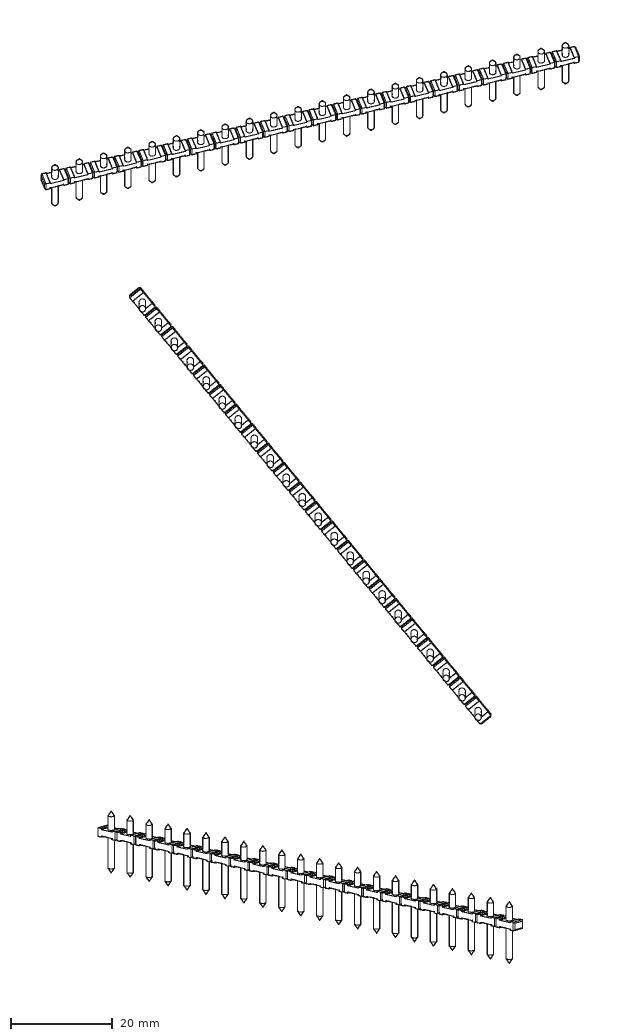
import cadquery as cq

length = 110.0
pin_count = 22
pitch = length / pin_count

strip_width = 2.8
strip_height = 1.8
end_chamfer = 0.2

recess_length = 2.8
recess_depth = 0.2

pin_length = 12.5
pin_above = 3.5
pin_radius = 0.65
point_length = 1.0


def make_segment():
    """One strip segment, chamfered at both ends so neighbours meet in V grooves."""
    block = cq.Workplane("XY").box(strip_width, pitch, strip_height)
    block = block.faces("<Y or >Y").chamfer(end_chamfer)
    recess_cutter = cq.Workplane("XY").box(strip_width, recess_length, 2 * recess_depth)
    for face_z in (-strip_height / 2, strip_height / 2):
        block = block.cut(recess_cutter.translate((0, 0, face_z)))
    return block


def make_pin():
    """One pin, half its outline revolved about the vertical axis."""
    top = strip_height / 2 + pin_above
    bottom = top - pin_length
    half_outline = [
        (0, bottom),
        (-pin_radius, bottom + point_length),
        (-pin_radius, top - point_length),
        (0, top),
    ]
    return cq.Workplane("YZ").polyline(half_outline).close().revolve(360, (0, 0), (0, 1))


unit = make_segment().union(make_pin())

result = cq.Workplane("XY")
for index in range(pin_count):
    segment_y = (index - (pin_count - 1) / 2) * pitch
    result = result.union(unit.translate((0, segment_y, 0)))